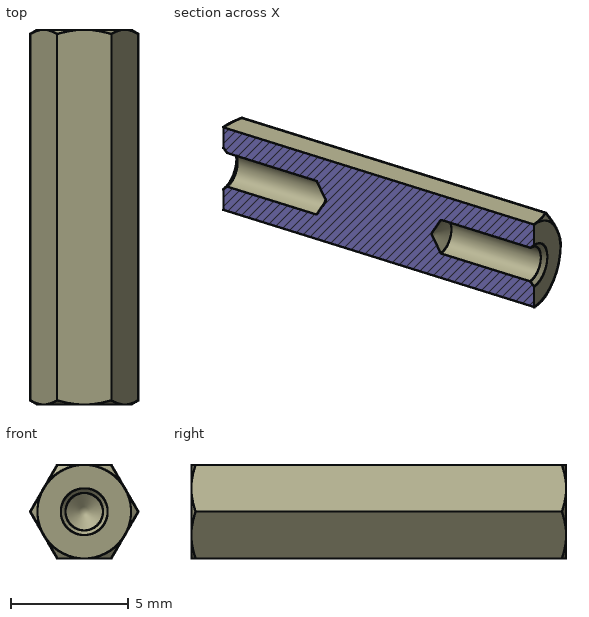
import cadquery as cq
import math

length = 16
across_flats = 4
across_corners = across_flats / math.cos(math.radians(30))
end_chamfer_angle = 30

hole_diameter = 1.6
hole_depth = 4.8
drill_point_angle = 118
countersink_diameter = 2.0
countersink_angle = 90


def hexagonal_bar():
    """Hexagonal bar with corners at +X and -X and flats at +Z and -Z."""
    return (
        cq.Workplane("XZ")
        .polygon(6, across_corners)
        .extrude(length / 2, both=True)
    )


def end_chamfer_envelope():
    """Turned cylinder whose conical ends cut the hexagon's corners back."""
    corner_radius = across_corners / 2
    face_radius = across_flats / 2
    chamfer_length = (corner_radius - face_radius) * math.tan(math.radians(end_chamfer_angle))
    half_length = length / 2
    shoulder = half_length - chamfer_length
    return (
        cq.Workplane("XY")
        .moveTo(0, -half_length)
        .lineTo(face_radius, -half_length)
        .lineTo(corner_radius, -shoulder)
        .lineTo(corner_radius, shoulder)
        .lineTo(face_radius, half_length)
        .lineTo(0, half_length)
        .close()
        .revolve(360, (0, 0, 0), (0, 1, 0))
    )


def countersunk_hole():
    """Cutter for the hole in the -Y end, with its countersink and drill point."""
    hole_radius = hole_diameter / 2
    mouth_radius = countersink_diameter / 2
    countersink_depth = (mouth_radius - hole_radius) / math.tan(math.radians(countersink_angle / 2))
    point_depth = hole_radius / math.tan(math.radians(drill_point_angle / 2))
    end_face = -length / 2
    return (
        cq.Workplane("XY")
        .moveTo(0, end_face)
        .lineTo(mouth_radius, end_face)
        .lineTo(hole_radius, end_face + countersink_depth)
        .lineTo(hole_radius, end_face + hole_depth)
        .lineTo(0, end_face + hole_depth + point_depth)
        .close()
        .revolve(360, (0, 0, 0), (0, 1, 0))
    )


near_hole = countersunk_hole()
far_hole = near_hole.mirror("XZ")
result = hexagonal_bar().intersect(end_chamfer_envelope()).cut(near_hole).cut(far_hole)